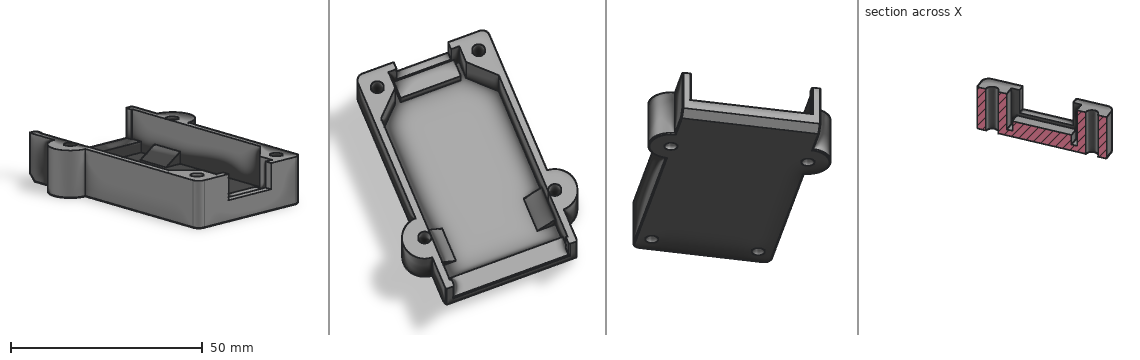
import cadquery as cq

length = 64.5
body_width = 36.9
height = 13.0
floor_height = 2.0
corner_radius = 2.05
front_bevel = 1.95
edge_chamfer = 0.3

boss_radius = 5.95
boss_x = 15.55
overall_width = 48.4
boss_y = overall_width / 2 - boss_radius
hole_radius = 1.71
rear_hole_x = 59.5
rear_hole_y = 14.2

side_wall = 1.95
rear_wall = 2.1
cavity_half_width = body_width / 2 - side_wall
neck_half_width = 9.95
taper_start_x = 50.95
taper_end_x = 57.6
cavity_end_x = length - rear_wall

sill_end_x = 5.55
sill_height = 4.95
lip_length = 2.1
opening_width = 32.1

notch_width = 15.2
notch_height = 5.95
rib_start_x = 57.5
rib_width = 16.9
rib_rise = 2.95

ramp_start_x = 10.65
ramp_length = 9.8
ramp_depth = 5.1
ramp_rise = 3.3


def block(x_start, x_end, width, z_bottom, z_top):
    """Box centred on Y."""
    return (
        cq.Workplane("XY")
        .box(x_end - x_start, width, z_top - z_bottom, centered=(False, True, False))
        .translate((x_start, 0, z_bottom))
    )


def make_outer_body():
    body = block(0, length, body_width, 0, height)
    body = body.edges("|Z and >X").fillet(corner_radius)
    body = body.edges("<X and <Z").chamfer(front_bevel)
    bosses = (
        cq.Workplane("XY")
        .pushPoints([(boss_x, -boss_y), (boss_x, boss_y)])
        .circle(boss_radius)
        .extrude(height)
    )
    body = body.union(bosses)
    bottom_rim = body.faces("<Z").edges("not <X")
    corner_edges = body.edges("|Z").edges("<X")
    bevel_ends = body.edges("|(1,0,-1)")
    return bottom_rim.add(corner_edges).add(bevel_ends).chamfer(edge_chamfer)


def make_cavity():
    outline = [
        (sill_end_x, cavity_half_width),
        (taper_start_x, cavity_half_width),
        (taper_end_x, neck_half_width),
        (cavity_end_x, neck_half_width),
        (cavity_end_x, -neck_half_width),
        (taper_end_x, -neck_half_width),
        (taper_start_x, -cavity_half_width),
        (sill_end_x, -cavity_half_width),
    ]
    main = (
        cq.Workplane("XY")
        .workplane(offset=floor_height)
        .polyline(outline)
        .close()
        .extrude(height - floor_height)
    )
    above_sill = block(lip_length, sill_end_x, 2 * cavity_half_width, sill_height, height)
    return main.union(above_sill)


def make_opening():
    """Front opening, flared by a chamfer where it meets the front face."""
    opening = block(0, lip_length, opening_width, sill_height, height)
    flare_half_width = opening_width / 2 + edge_chamfer
    flare = (
        cq.Workplane("XY")
        .polyline([
            (0, -flare_half_width),
            (edge_chamfer, -opening_width / 2),
            (edge_chamfer, opening_width / 2),
            (0, flare_half_width),
        ])
        .close()
        .extrude(height - sill_height)
        .translate((0, 0, sill_height))
    )
    sill_flare = (
        cq.Workplane("XZ")
        .polyline([
            (0, sill_height - edge_chamfer),
            (edge_chamfer, sill_height),
            (0, sill_height),
        ])
        .close()
        .extrude(flare_half_width, both=True)
    )
    return opening.union(flare).union(sill_flare)


def make_ramp(side):
    """Wedge that is highest at the wall; side is +1 or -1 along Y."""
    wall_y = side * cavity_half_width
    profile = [
        (wall_y, floor_height),
        (wall_y - side * ramp_depth, floor_height),
        (wall_y, floor_height + ramp_rise),
    ]
    return (
        cq.Workplane("YZ")
        .workplane(offset=ramp_start_x)
        .polyline(profile)
        .close()
        .extrude(ramp_length)
    )


result = make_outer_body().cut(make_cavity()).cut(make_opening())
result = result.cut(block(cavity_end_x, length, notch_width, notch_height, height))

rib = block(rib_start_x, cavity_end_x, rib_width, floor_height, floor_height + rib_rise)
result = result.union(rib)
for side in (-1, 1):
    result = result.union(make_ramp(side))

hole_points = [
    (x, side * y)
    for x, y in ((boss_x, boss_y), (rear_hole_x, rear_hole_y))
    for side in (-1, 1)
]
holes = cq.Workplane("XY").pushPoints(hole_points).circle(hole_radius).extrude(height)
result = result.cut(holes)